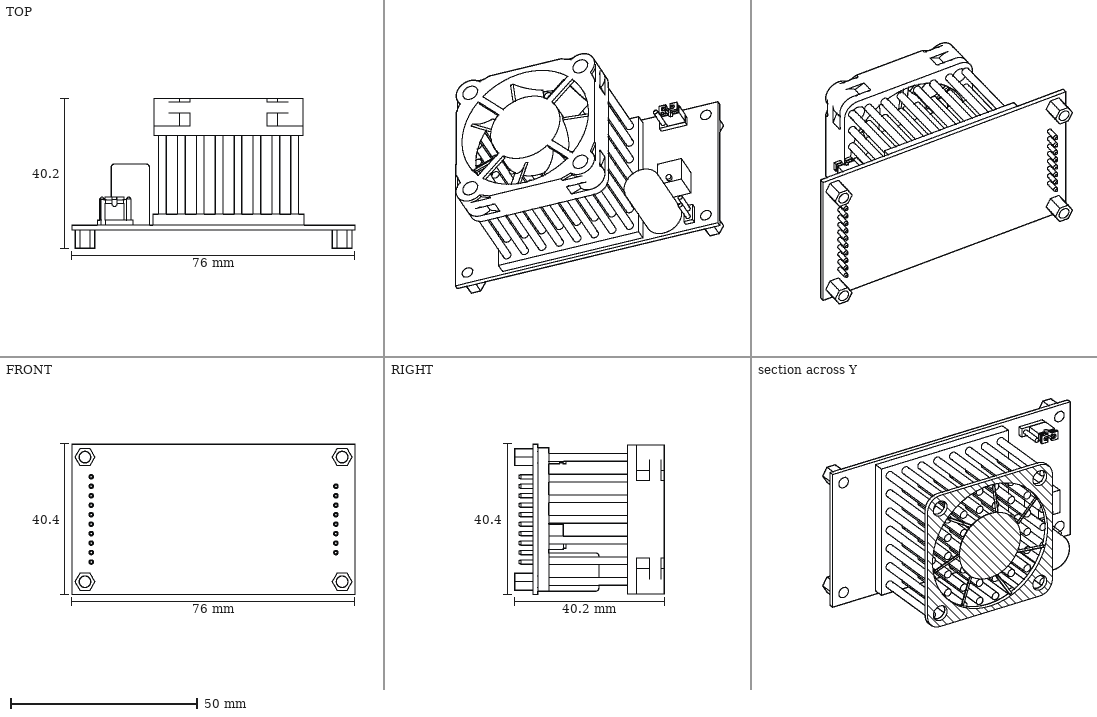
import cadquery as cq
import math


board_width = 75.95
board_height = 40.4
board_thickness = 1.4

standoff_spacing_x = 69.0
standoff_spacing_z = 33.4
standoff_length = 4.85
standoff_across_corners = 5.3
standoff_bore = 3.05

pin_diameter = 1.2
pin_tip_length = 0.5
solder_pin_length = 3.7
solder_tip_diameter = 0.75
solder_row_x = 32.8
left_row_count = 10
left_row_span = 22.85
pin_pitch = left_row_span / (left_row_count - 1)
right_row_count = 8
header_pin_height = 7.6
header_tip_diameter = 0.2
header_base_height = 1.4
header_depth = 2.5

long_header_x = -25.3
long_header_z = 16.1
long_header_count = 3
long_header_width = 7.45

short_header_x = -29.9
short_header_z = -15.65
short_header_count = 2

jumper_width = 5.2
jumper_depth = 2.35
jumper_waist_bottom = 5.85
jumper_waist_top = 6.75
jumper_waist_inset = 0.2
jumper_slot_width = 1.2
jumper_slot_bottom = 5.0
jumper_slot_shoulder = 5.55
jumper_slot_tip_width = 0.6

capacitor_x = -22.3
capacitor_z = -14.1
capacitor_diameter = 10.3
capacitor_height = 16.4
capacitor_rounding = 0.9

trimmer_x = -26.7
trimmer_z = -4.7
trimmer_size = 6.8
screw_offset_z = -2.3
screw_diameter = 1.5
screw_height = 0.75

cooler_x = 4.0
heatsink_width = 40.55
heatsink_height = 38.4
heatsink_base_thickness = 3.0
heatsink_pin_diameter = 2.1
heatsink_columns = 8
heatsink_rows = 7
heatsink_column_span = 35.5
heatsink_row_span = 33.3
heatsink_pitch_x = heatsink_column_span / (heatsink_columns - 1)
heatsink_pitch_z = heatsink_row_span / (heatsink_rows - 1)

fan_size = 40.0
fan_depth = 9.95
fan_bottom = 24.0
fan_top = fan_bottom + fan_depth
flange_corner_radius = 4.1
post_radius = 4.0
fan_bore = 36.6
fan_mount_hole = 4.25
notch_start = 9.65
notch_floor = 6.8
flange_depth = 2.5
strap_bottom = fan_bottom + 6.0
strap_top = fan_bottom + 9.05

hub_diameter = 20.05
hub_rounding = 1.9
hub_bottom = fan_bottom + 0.15
blade_count = 7
blade_thickness = 0.75
blade_bottom = fan_bottom + 1.15
blade_height = 6.45
blade_tip_radius = 17.6
blade_sweep = 6.1
blade_camber = 0.75
blade_phase = 20.0
strut_count = 4
strut_width = 1.9
strut_thickness = 1.15


def plane_at(y):
    """XZ sketch plane at height y; a negative extrusion rises toward +Y."""
    return cq.Workplane("XZ", origin=(0, y, 0))


def block(x, z, width, height, bottom, top):
    """Box centred on (x, z) that fills Y from bottom to top."""
    return plane_at(bottom).center(x, z).rect(width, height).extrude(bottom - top)


def cylinders(points, diameter, bottom, top):
    """Cylinders along Y at the given (x, z) points."""
    return plane_at(bottom).pushPoints(points).circle(diameter / 2).extrude(bottom - top)


def centred_row(count, pitch):
    """Positions of count items, pitch apart and centred on zero."""
    return [(i - (count - 1) / 2) * pitch for i in range(count)]


def pin(x, z, start, end, tip_diameter):
    """Round pin along Y from start to end, with a tapered tip at its end."""
    shoulder = end - math.copysign(pin_tip_length, end - start)
    profile = [
        (0, start),
        (pin_diameter / 2, start),
        (pin_diameter / 2, shoulder),
        (tip_diameter / 2, end),
        (0, end),
    ]
    turned = cq.Workplane("XY").polyline(profile).close().revolve(360, (0, 0, 0), (0, 1, 0))
    return turned.translate((x, 0, z))


long_header_pins = [
    (long_header_x + dx, long_header_z) for dx in centred_row(long_header_count, pin_pitch)
]
short_header_pins = [
    (short_header_x, short_header_z + dz) for dz in centred_row(short_header_count, pin_pitch)
]


def make_board():
    """Board with its standoffs, solder pins and the two pin headers."""
    board = block(0, 0, board_width, board_height, -board_thickness, 0)

    standoffs = (
        plane_at(-board_thickness)
        .rect(standoff_spacing_x, standoff_spacing_z, forConstruction=True)
        .vertices()
        .polygon(6, standoff_across_corners)
        .extrude(standoff_length)
    )
    board = board.union(standoffs)
    bores = (
        plane_at(0)
        .rect(standoff_spacing_x, standoff_spacing_z, forConstruction=True)
        .vertices()
        .circle(standoff_bore / 2)
        .extrude(board_thickness + standoff_length)
    )
    board = board.cut(bores)

    pin_end = -board_thickness - solder_pin_length
    for x, count in ((-solder_row_x, left_row_count), (solder_row_x, right_row_count)):
        for z in centred_row(count, pin_pitch):
            board = board.union(pin(x, z, -board_thickness, pin_end, solder_tip_diameter))

    long_base = block(
        long_header_x, long_header_z, long_header_width, header_depth, 0, header_base_height
    )
    short_base = block(
        short_header_x,
        short_header_z,
        header_depth,
        pin_pitch * short_header_count,
        0,
        header_base_height,
    )
    board = board.union(long_base).union(short_base)
    for x, z in long_header_pins + short_header_pins:
        board = board.union(pin(x, z, 0, header_pin_height, header_tip_diameter))
    return board


def make_jumper():
    """Jumper cap with a waist, a pointed slot and bores that match its two pins."""
    covered_pins = long_header_pins[:2]
    x = (covered_pins[0][0] + covered_pins[1][0]) / 2
    z = long_header_z
    waist_width = jumper_width - 2 * jumper_waist_inset
    waist_depth = jumper_depth - 2 * jumper_waist_inset

    lower = block(x, z, jumper_width, jumper_depth, header_base_height, jumper_waist_bottom)
    waist = block(x, z, waist_width, waist_depth, jumper_waist_bottom, jumper_waist_top)
    upper = block(x, z, jumper_width, jumper_depth, jumper_waist_top, header_pin_height)
    jumper = lower.union(waist).union(upper)

    slot = (
        cq.Workplane("XY", origin=(x, 0, z))
        .moveTo(-jumper_slot_width / 2, header_pin_height)
        .lineTo(-jumper_slot_width / 2, jumper_slot_shoulder)
        .lineTo(-jumper_slot_tip_width / 2, jumper_slot_bottom)
        .lineTo(jumper_slot_tip_width / 2, jumper_slot_bottom)
        .lineTo(jumper_slot_width / 2, jumper_slot_shoulder)
        .lineTo(jumper_slot_width / 2, header_pin_height)
        .close()
        .extrude(jumper_depth, both=True)
    )
    bores = cylinders(covered_pins, pin_diameter, header_base_height, header_pin_height)
    return jumper.cut(slot).cut(bores)


def make_capacitor():
    """Upright can with a rounded top edge."""
    can = cylinders([(capacitor_x, capacitor_z)], capacitor_diameter, 0, capacitor_height)
    return can.faces(">Y").edges().fillet(capacitor_rounding)


def make_trimmer():
    """Cube with a small adjusting screw on top."""
    body = block(trimmer_x, trimmer_z, trimmer_size, trimmer_size, 0, trimmer_size)
    screw_place = (trimmer_x, trimmer_z + screw_offset_z)
    screw = cylinders([screw_place], screw_diameter, 0, trimmer_size + screw_height)
    return body.union(screw)


def make_heatsink():
    """Base plate with a grid of round pins that reach up to the fan."""
    base = block(cooler_x, 0, heatsink_width, heatsink_height, 0, heatsink_base_thickness)
    places = [
        (cooler_x + dx, dz)
        for dx in centred_row(heatsink_columns, heatsink_pitch_x)
        for dz in centred_row(heatsink_rows, heatsink_pitch_z)
    ]
    return base.union(cylinders(places, heatsink_pin_diameter, 0, fan_bottom))


def rounded_block(corner_radius, bottom, top):
    """Square slab of the fan frame with rounded corners."""
    return block(0, 0, fan_size, fan_size, bottom, top).edges("|Y").fillet(corner_radius)


def notched_block(bottom, top):
    """Slab of the fan frame with a V notch on both sides of each round corner post."""
    half = fan_size / 2
    centre = half - post_radius
    reach = notch_floor - post_radius
    floor_x = half - notch_floor
    floor_z = centre + math.sqrt(post_radius**2 - reach**2)
    start_x = half - notch_start
    diagonal = centre + post_radius * math.sqrt(0.5)

    outline = plane_at(bottom).moveTo(-start_x, half)
    for turn in range(4):
        cos = round(math.cos(turn * math.pi / 2))
        sin = round(math.sin(turn * math.pi / 2))

        def turned(x, z):
            return (x * cos + z * sin, z * cos - x * sin)

        outline = (
            outline.lineTo(*turned(start_x, half))
            .lineTo(*turned(floor_x, floor_z))
            .threePointArc(turned(diagonal, diagonal), turned(floor_z, floor_x))
            .lineTo(*turned(half, start_x))
        )
    return outline.close().extrude(bottom - top)


def make_blade():
    """One cambered blade along +X, rooted in the hub and pitched along the fan axis."""
    root = hub_diameter / 2 - 0.75
    bottom = (blade_sweep / 2, blade_bottom)
    middle = (-blade_camber, blade_bottom + blade_height / 2)
    top = (-blade_sweep / 2, blade_bottom + blade_height)
    return (
        cq.Workplane("ZY", origin=(root, 0, 0))
        .moveTo(*bottom)
        .threePointArc(middle, top)
        .lineTo(top[0] + blade_thickness, top[1])
        .threePointArc((middle[0] + blade_thickness, middle[1]), (bottom[0] + blade_thickness, bottom[1]))
        .close()
        .extrude(root - blade_tip_radius)
    )


def make_fan():
    """Square frame with hub, blades and struts, centred on the Y axis, then moved into place."""
    flange_top = fan_bottom + flange_depth
    fan = (
        rounded_block(flange_corner_radius, fan_bottom, flange_top)
        .union(notched_block(flange_top, strap_bottom))
        .union(rounded_block(post_radius, strap_bottom, strap_top))
        .union(notched_block(strap_top, fan_top))
    )
    fan = fan.cut(cylinders([(0, 0)], fan_bore, fan_bottom, fan_top))
    mount = fan_size / 2 - flange_corner_radius
    mount_places = [(sx * mount, sz * mount) for sx in (-1, 1) for sz in (-1, 1)]
    fan = fan.cut(cylinders(mount_places, fan_mount_hole, fan_bottom, fan_top))

    hub = cylinders([(0, 0)], hub_diameter, hub_bottom, fan_top)
    hub = hub.faces("<Y").edges().fillet(hub_rounding)
    fan = fan.union(hub)
    blade = make_blade()
    for i in range(blade_count):
        fan = fan.union(blade.rotate((0, 0, 0), (0, 1, 0), blade_phase + 360 * i / blade_count))
    strut = block(fan_bore / 4, 0, fan_bore / 2 + 0.75, strut_width, fan_top - strut_thickness, fan_top)
    for i in range(strut_count):
        fan = fan.union(strut.rotate((0, 0, 0), (0, 1, 0), 360 * (i + 0.5) / strut_count))
    return fan.translate((cooler_x, 0, 0))


board = make_board()
jumper = make_jumper()
capacitor = make_capacitor()
trimmer = make_trimmer()
heatsink = make_heatsink()
fan = make_fan()

result = cq.Compound.makeCompound(
    [board.val(), jumper.val(), capacitor.val(), trimmer.val(), heatsink.val(), fan.val()]
)